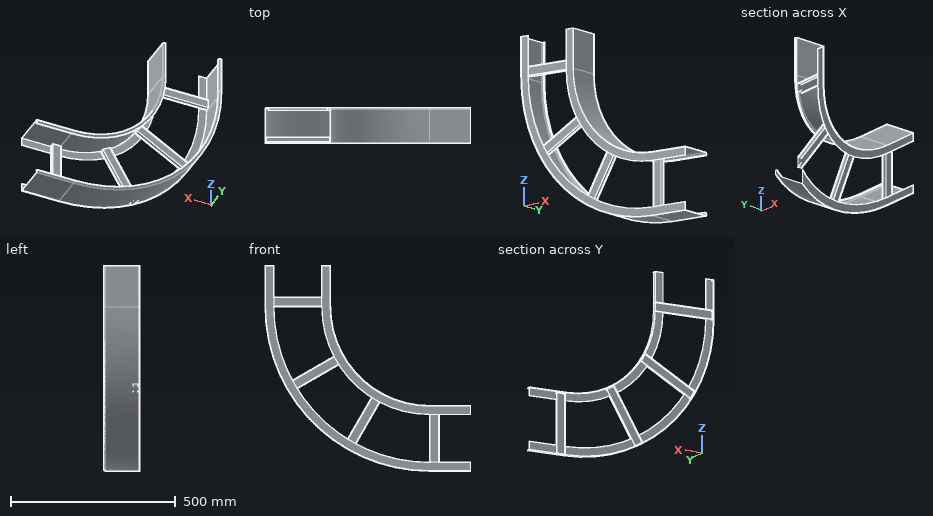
import cadquery as cq
OVERALL = 625.0
RAIL_HEIGHT = 110.0
TRAY_WIDTH = 200.0
BEND_RADIUS = 500.0
STRAIGHT = OVERALL - BEND_RADIUS

SHEET = 2.0
FLANGE = 27.5
CURL_RADIUS = 6.0
CURL_LIP = 3.0

RUNG_WIDTH = 30.0
RUNG_DEPTH = 15.5
RUNG_WALL = SHEET
RUNG_FRONT = 5.0
RUNG_INSET = 2 * SHEET
RUNG_LENGTH = TRAY_WIDTH - 2 * RUNG_INSET
CURVED_RUNG_ANGLES = (30.0, 60.0)

BEND_AXIS_START = (BEND_RADIUS, 0, BEND_RADIUS)
BEND_AXIS_END = (BEND_RADIUS, -1, BEND_RADIUS)
DIAGONAL = (1, 0, -1)


def rail_section(web_x, inward):
    """Rail profile in X and Y; inward is +1 or -1, the X direction of the flange from the web."""
    def at(depth, y):
        return (web_x + inward * depth, y)

    curl_y = RAIL_HEIGHT - CURL_RADIUS
    lip_y = curl_y - CURL_LIP
    hook_width = 2 * CURL_RADIUS
    return (
        cq.Workplane("XY", origin=(0, 0, BEND_RADIUS))
        .moveTo(*at(0, 0))
        .lineTo(*at(0, curl_y))
        .threePointArc(at(CURL_RADIUS, RAIL_HEIGHT), at(hook_width, curl_y))
        .lineTo(*at(hook_width, lip_y))
        .lineTo(*at(hook_width - SHEET, lip_y))
        .lineTo(*at(hook_width - SHEET, curl_y))
        .threePointArc(at(CURL_RADIUS, RAIL_HEIGHT - SHEET), at(SHEET, curl_y))
        .lineTo(*at(SHEET, SHEET))
        .lineTo(*at(FLANGE, SHEET))
        .lineTo(*at(FLANGE, 0))
        .close()
    )


def rail(web_x, inward):
    """Rail with an upright run, a 90 degree bend and a level run."""
    upright = rail_section(web_x, inward).extrude(STRAIGHT)
    bend = rail_section(web_x, inward).revolve(90, (BEND_RADIUS, 0, 0), (BEND_RADIUS, -1, 0))
    level = upright.mirror(DIAGONAL)
    return upright.union(bend).union(level)


def straight_rung():
    """Square-cornered tube across the upright run, its lower side level with the start of the bend."""
    return (
        cq.Workplane("YZ")
        .rect(RUNG_DEPTH, RUNG_WIDTH)
        .rect(RUNG_DEPTH - 2 * RUNG_WALL, RUNG_WIDTH - 2 * RUNG_WALL)
        .extrude(RUNG_LENGTH)
        .translate((RUNG_INSET, RUNG_FRONT + RUNG_DEPTH / 2, BEND_RADIUS + RUNG_WIDTH / 2))
    )


def curved_rung(angle):
    """The same tube across the bend, centred on the radius at this angle."""
    centred = straight_rung().translate((0, 0, -RUNG_WIDTH / 2))
    return centred.rotate(BEND_AXIS_START, BEND_AXIS_END, angle)


outer_rail = rail(0, 1)
inner_rail = rail(TRAY_WIDTH, -1)

upright_rung = straight_rung()
rungs = [upright_rung, upright_rung.mirror(DIAGONAL)]
for rung_angle in CURVED_RUNG_ANGLES:
    rungs.append(curved_rung(rung_angle))

result = cq.Compound.makeCompound(
    [outer_rail.val(), inner_rail.val(), *[rung.val() for rung in rungs]]
)